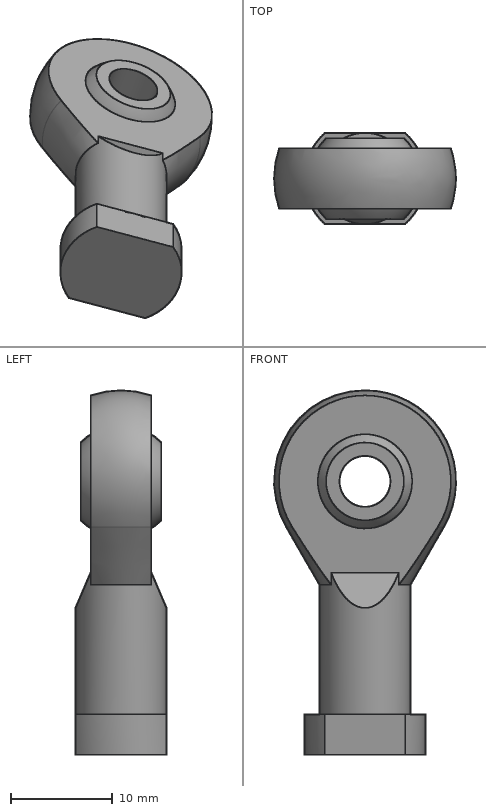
import cadquery as cq
import math

eye_height = 27.0
head_radius = 9.0
head_width = 6.0
shank_diameter = 9.0
neck_half_angle = 30.0
shoulder_top = 18.0
shoulder_bottom = 14.5
foot_diameter = 12.0
foot_height = 4.0
ball_diameter = 11.1
ball_width = 8.0
bore_diameter = 5.0

shank_radius = shank_diameter / 2
half_head = head_width / 2
neck_angle = math.radians(neck_half_angle)
tangent_radius = head_radius * math.cos(neck_angle)
tangent_height = eye_height - head_radius * math.sin(neck_angle)
neck_bottom = tangent_height - (tangent_radius - shank_radius) / math.tan(neck_angle)


def make_ball_blank():
    """Undrilled ball with flat ends, revolved around the Y axis through the eye."""
    ball_radius = ball_diameter / 2
    half_width = ball_width / 2
    flat_radius = math.sqrt(ball_radius**2 - half_width**2)
    return (
        cq.Workplane("XY", origin=(0, 0, eye_height))
        .moveTo(0, -half_width)
        .lineTo(flat_radius, -half_width)
        .threePointArc((ball_radius, 0), (flat_radius, half_width))
        .lineTo(0, half_width)
        .close()
        .revolve(360, (0, 0, 0), (0, 1, 0))
    )


def make_head():
    """Sphere running tangentially into a cone, trimmed to two flat faces."""
    mid_angle = (math.pi / 2 - neck_angle) / 2
    mid_point = (head_radius * math.cos(mid_angle), eye_height + head_radius * math.sin(mid_angle))
    revolved = (
        cq.Workplane("XZ")
        .moveTo(0, neck_bottom)
        .lineTo(shank_radius, neck_bottom)
        .lineTo(tangent_radius, tangent_height)
        .threePointArc(mid_point, (0, eye_height + head_radius))
        .close()
        .revolve(360, (0, 0, 0), (0, 1, 0))
    )
    slab_height = eye_height + head_radius
    slab = cq.Workplane("XY").box(2 * head_radius, head_width, slab_height, centered=(True, True, False))
    return revolved.intersect(slab)


def make_shank():
    """Round shank with sloped shoulders narrowing to the head width."""
    cylinder = cq.Workplane("XY").circle(shank_radius).extrude(shoulder_top)
    side_profile = (
        cq.Workplane("YZ")
        .polyline([
            (-shank_radius, 0),
            (shank_radius, 0),
            (shank_radius, shoulder_bottom),
            (half_head, shoulder_top),
            (-half_head, shoulder_top),
            (-shank_radius, shoulder_bottom),
        ])
        .close()
        .extrude(shank_radius, both=True)
    )
    return cylinder.intersect(side_profile)


def make_foot():
    """Round foot with two wrench flats level with the shank."""
    disc = cq.Workplane("XY").circle(foot_diameter / 2).extrude(foot_height)
    flats = cq.Workplane("XY").box(
        foot_diameter, shank_diameter, foot_height, centered=(True, True, False)
    )
    return disc.intersect(flats)


def make_housing():
    """Head, shank and foot in one piece, with a spherical seat for the ball."""
    return make_head().union(make_shank()).union(make_foot()).cut(make_ball_blank())


def make_ball():
    """Ball drilled through along Y."""
    bore = (
        cq.Workplane("XZ", origin=(0, 0, eye_height))
        .circle(bore_diameter / 2)
        .extrude(ball_width, both=True)
    )
    return make_ball_blank().cut(bore)


housing = make_housing()
ball = make_ball()

result = cq.Compound.makeCompound([*housing.solids().vals(), *ball.solids().vals()])